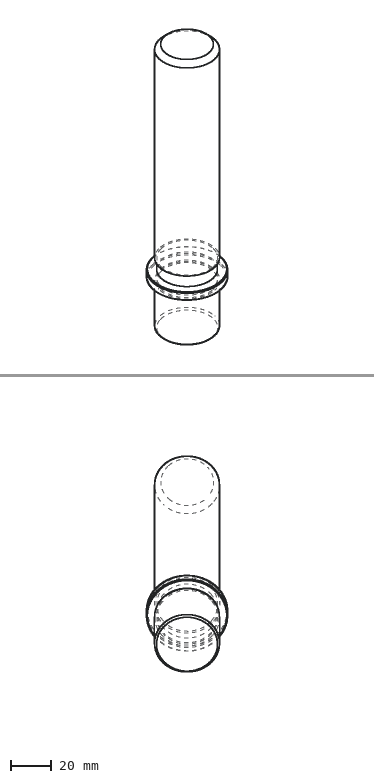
import cadquery as cq

total_length = 170.0
pin_diameter = 32.0

collar_diameter = 40.0
collar_bottom = 30.0
collar_thickness = 5.0
collar_chamfer = 0.5

relief_diameter = 30.0
lower_relief_width = 1.5
upper_relief_width = 7.0

bottom_chamfer = 1.0
top_chamfer = 3.0

collar_top = collar_bottom + collar_thickness
shank_top = collar_bottom - lower_relief_width
guide_bottom = collar_top + upper_relief_width


def cylinder(diameter, bottom, top):
    """Solid cylinder on the Z axis between two heights."""
    return cq.Workplane("XY").workplane(offset=bottom).circle(diameter / 2).extrude(top - bottom)


def make_shank():
    """Short mounting end below the collar, chamfered at its foot."""
    return cylinder(pin_diameter, 0, shank_top).faces("<Z").chamfer(bottom_chamfer)


def make_neck():
    """Reduced core joining shank, collar and guide; its exposed parts are the reliefs."""
    return cylinder(relief_diameter, shank_top, guide_bottom)


def make_collar():
    """Flange with both rims chamfered."""
    return cylinder(collar_diameter, collar_bottom, collar_top).faces("<Z or >Z").chamfer(collar_chamfer)


def make_guide():
    """Long guiding length with a lead-in chamfer at the tip."""
    return cylinder(pin_diameter, guide_bottom, total_length).faces(">Z").chamfer(top_chamfer)


result = make_shank().union(make_neck()).union(make_collar()).union(make_guide())